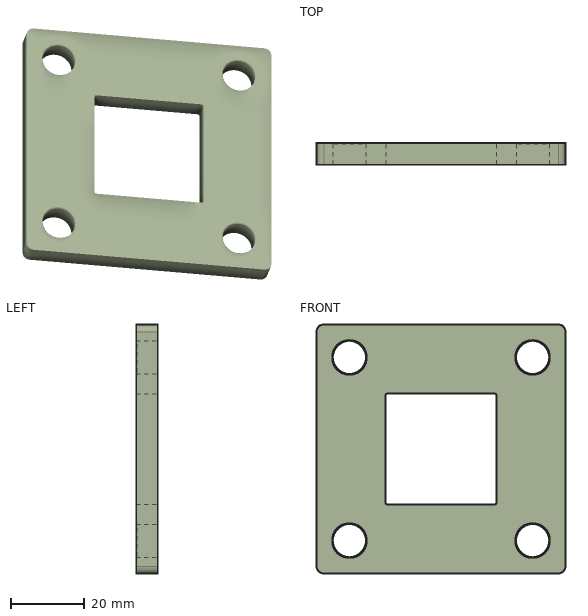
import cadquery as cq

plate_side = 68.0
plate_thickness = 6.0
corner_radius = 2.0

window_side = 30.2
window_corner_radius = 0.5

hole_diameter = 9.0
hole_spacing = 50.0
hole_chamfer = 0.25


def square_block(side, radius):
    """Centred square block as thick as the plate, with its corners rounded."""
    block = cq.Workplane("XY").box(side, plate_thickness, side)
    return block.edges("|Y").fillet(radius)


def hole_cutter(x, z):
    """Bore along Y with a chamfer cone opening at each face of the plate."""
    bore_radius = hole_diameter / 2
    mouth_radius = bore_radius + hole_chamfer
    front = cq.Vector(x, -plate_thickness / 2, z)
    back = cq.Vector(x, plate_thickness / 2, z)
    backward = cq.Vector(0, 1, 0)
    forward = cq.Vector(0, -1, 0)
    bore = cq.Solid.makeCylinder(bore_radius, plate_thickness, front, backward)
    front_chamfer = cq.Solid.makeCone(mouth_radius, bore_radius, hole_chamfer, front, backward)
    back_chamfer = cq.Solid.makeCone(mouth_radius, bore_radius, hole_chamfer, back, forward)
    return bore.fuse(front_chamfer, back_chamfer)


plate = square_block(plate_side, corner_radius)
plate = plate.cut(square_block(window_side, window_corner_radius))

hole_offset = hole_spacing / 2
for hole_x in (-hole_offset, hole_offset):
    for hole_z in (-hole_offset, hole_offset):
        plate = plate.cut(hole_cutter(hole_x, hole_z))

result = plate